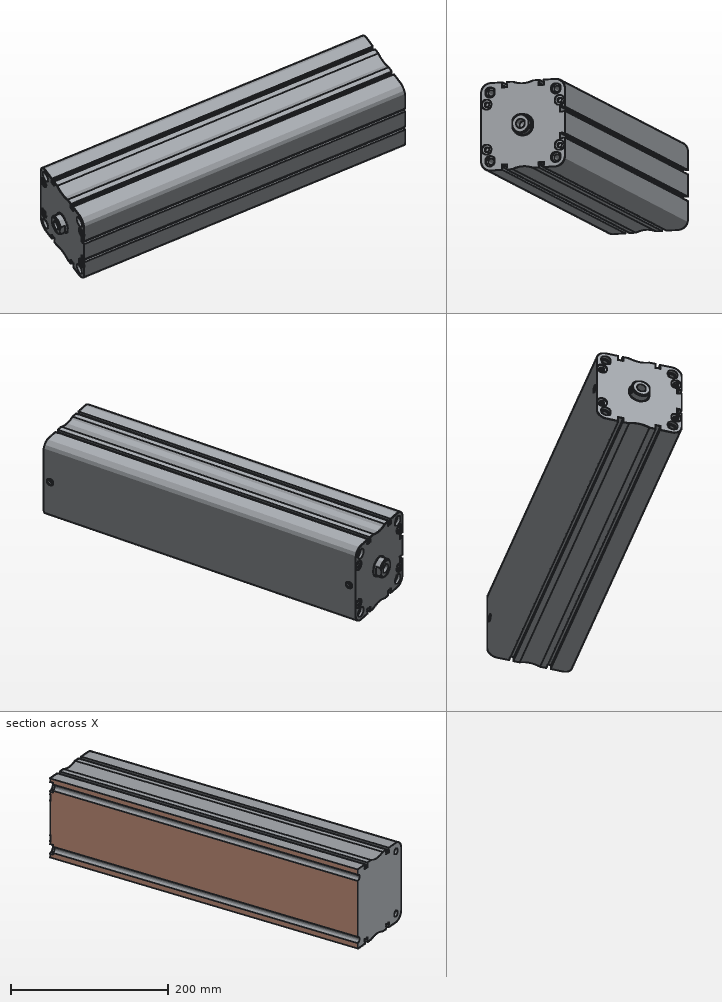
import cadquery as cq
import math

total_length = 477.0
body_side = 113.5
rod_stickout = 9.5
corner_radius = 13.0
front_edge_chamfer = 0.5

half_side = body_side / 2
half_length = total_length / 2
front_y = -half_length + rod_stickout
back_y = half_length

groove_mouth_width = 5.5
groove_inner_width = 6.5
groove_lip_height = 4.0
groove_depth = 6.5
top_groove_offset = 25.0
side_groove_offset = 17.0

hollow_width = 27.0
hollow_depth = 3.0

tie_hole_offset = 44.5
tie_hole_diameter = 8.0
tie_counterbore_diameter = 13.5
tie_counterbore_depth = 5.0

screw_offset_x = 49.0
screw_offset_z = 29.0
screw_recess_diameter = 13.0
screw_recess_depth = 1.5
screw_hole_diameter = 6.0
screw_hole_depth = 5.0

port_end_distance = 10.0
port_bore_diameter = 8.0
port_core_depth = 12.0
port_bore_depth = 5.0
port_core_diameter = 6.0
port_countersink_diameter = 10.0

rod_recess_diameter = 27.5
rod_recess_depth = 1.5

rod_diameter = 25.5
rod_collar_length = 2.5
rod_chamfer = 1.5
wrench_size = 22.0
rod_bore_diameter = 12.0
rod_bore_depth = 14.5
drill_point_angle = 118.0


def cylinder_y(x, z, start_y, length, diameter):
    """Cylinder that starts at start_y and runs toward +Y."""
    axis_start = cq.Vector(x, start_y, z)
    return cq.Workplane(cq.Solid.makeCylinder(diameter / 2, length, axis_start, cq.Vector(0, 1, 0)))


def groove_cutter(face_angle):
    """Groove in the middle of the top face, turned about the Y axis onto another face."""
    length = 2 * total_length
    inner_depth = groove_depth - groove_lip_height
    inner_z = half_side - groove_lip_height - inner_depth / 2
    mouth = cq.Workplane("XY").box(groove_mouth_width, length, 2 * groove_depth).translate((0, 0, half_side))
    inner = cq.Workplane("XY").box(groove_inner_width, length, inner_depth).translate((0, 0, inner_z))
    return mouth.union(inner).rotate((0, 0, 0), (0, 1, 0), face_angle)


def make_body():
    length = back_y - front_y
    middle_y = (front_y + back_y) / 2
    body = cq.Workplane("XY").box(body_side, length, body_side).translate((0, middle_y, 0))
    return body.edges("|Y").fillet(corner_radius)


def cut_grooves(body):
    for x in (-top_groove_offset, top_groove_offset):
        body = body.cut(groove_cutter(0).translate((x, 0, 0)))
        body = body.cut(groove_cutter(180).translate((x, 0, 0)))
    for z in (-side_groove_offset, side_groove_offset):
        body = body.cut(groove_cutter(90).translate((0, 0, z)))
    return body


def cut_hollows(body):
    radius = ((hollow_width / 2) ** 2 + hollow_depth ** 2) / (2 * hollow_depth)
    axis_z = half_side - hollow_depth + radius
    for z in (-axis_z, axis_z):
        body = body.cut(cylinder_y(0, z, -total_length, 2 * total_length, 2 * radius))
    return body


def cut_end_holes(body):
    for x_sign in (-1, 1):
        for z_sign in (-1, 1):
            x = x_sign * tie_hole_offset
            z = z_sign * tie_hole_offset
            body = body.cut(cylinder_y(x, z, -total_length, 2 * total_length, tie_hole_diameter))
            body = body.cut(cylinder_y(x, z, front_y, tie_counterbore_depth, tie_counterbore_diameter))

            x = x_sign * screw_offset_x
            z = z_sign * screw_offset_z
            body = body.cut(cylinder_y(x, z, front_y, screw_recess_depth, screw_recess_diameter))
            body = body.cut(cylinder_y(x, z, front_y, screw_hole_depth, screw_hole_diameter))
    return body


def cut_ports(body):
    inward = cq.Vector(1, 0, 0)
    countersink_depth = (port_countersink_diameter - port_bore_diameter) / 2
    for y in (front_y + port_end_distance, back_y - port_end_distance):
        mouth = cq.Vector(-half_side, y, 0)
        bore = cq.Solid.makeCylinder(port_bore_diameter / 2, port_bore_depth, mouth, inward)
        core = cq.Solid.makeCylinder(port_core_diameter / 2, port_core_depth, mouth, inward)
        countersink = cq.Solid.makeCone(
            port_countersink_diameter / 2, port_bore_diameter / 2, countersink_depth, mouth, inward
        )
        for cutter in (countersink, bore, core):
            body = body.cut(cq.Workplane(cutter))
    return body


def make_rod_end():
    rod = cylinder_y(0, 0, -half_length, rod_stickout + rod_recess_depth, rod_diameter)
    rod = rod.faces("<Y").chamfer(rod_chamfer)
    flat_length = rod_stickout - rod_collar_length
    flat_middle_y = -half_length + flat_length / 2
    for side in (-1, 1):
        waste = cq.Workplane("XY").box(rod_diameter, flat_length, rod_diameter)
        flat_x = side * (wrench_size + rod_diameter) / 2
        rod = rod.cut(waste.translate((flat_x, flat_middle_y, 0)))
    return rod


def cut_rod_bore(body):
    bore = cylinder_y(0, 0, -half_length, rod_bore_depth, rod_bore_diameter)
    bore_radius = rod_bore_diameter / 2
    point_length = bore_radius / math.tan(math.radians(drill_point_angle / 2))
    point_start = cq.Vector(0, -half_length + rod_bore_depth, 0)
    point = cq.Solid.makeCone(bore_radius, 0, point_length, point_start, cq.Vector(0, 1, 0))
    return body.cut(bore).cut(cq.Workplane(point))


body = make_body()
body = cut_grooves(body)
body = cut_hollows(body)
body = body.faces("<Y").chamfer(front_edge_chamfer)
body = cut_end_holes(body)
body = cut_ports(body)
body = body.cut(cylinder_y(0, 0, front_y, rod_recess_depth, rod_recess_diameter))
body = body.union(make_rod_end())
result = cut_rod_bore(body)